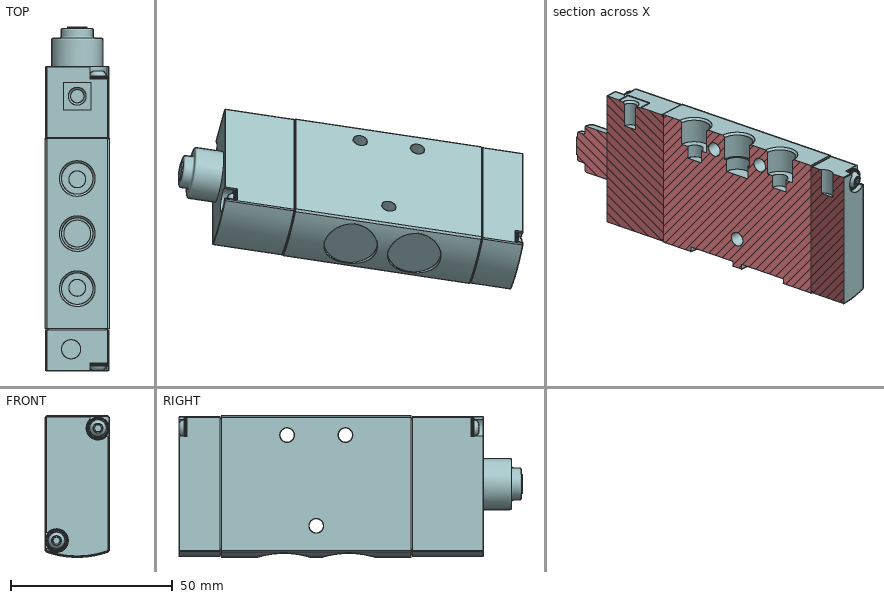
import cadquery as cq
import math


body_width = 20.0
body_height = 43.72
body_length = 58.6
body_chamfer = 0.6
arch_rise = 1.6
cap_inset = 0.25
cap_chamfer = 0.35
cap_end_chamfer = 0.2

neck_length = 0.4
neck_inset = 0.7
rear_cap_length = 21.9
front_cap_length = 12.7

top_port_pitch = 17.0
top_port_diameter = 9.7
top_port_mouth = 11.0
top_port_depth = 8.0
passage_pitch = 16.75
passage_diameter = 5.2
centre_passage_diameter = 8.3
passage_depth = 4.0
spotface_pitch = 20.0
spotface_diameter = 16.5

mounting_diameter = 4.4
upper_hole_pitch = 18.0
upper_hole_z = 37.75
lower_hole_z = 9.75

pilot_y = 42.4
pilot_recess_side = 8.6
pilot_recess_depth = 0.2
pilot_diameter = 4.13
pilot_mouth = 5.5
pilot_depth = 8.0
exhaust_x = -1.9
exhaust_y = -35.7
exhaust_diameter = 5.92
exhaust_depth = 8.0

screw_x = 6.4
upper_screw_z = 39.9
lower_screw_z = 5.2
pocket_diameter = 7.3
pocket_slot_width = 4.9
rear_pocket_depth = 3.9
front_pocket_depth = 2.5
flange_diameter = 6.8
flange_height = 0.95
flange_root_diameter = 5.92
serration_count = 32
serration_width = 0.33
dome_diameter = 5.2
dome_height = 1.55
dome_flat_diameter = 3.0
dome_bulge = 0.63
socket_diameter = 2.1
socket_lobe_reach = 2.46
socket_lobe_diameter = 0.5
socket_lobe_count = 6
socket_depth = 1.2

knob_z = 22.65
knob_diameter = 15.9
knob_length = 8.7
button_diameter = 10.0
button_length = 3.0
knob_fillet = 0.6
tip_diameter = 5.92
tip_length = 0.4

half_body = body_length / 2
cap_top = body_height - cap_inset
rear_face = half_body + neck_length + rear_cap_length
front_face = -(half_body + neck_length + front_cap_length)


def section_block(inset, chamfer, y_start, length):
    """Bar along +Y with the arched section, its faces set back from the body faces by inset."""
    side = body_width / 2 - inset
    top = body_height - inset
    bottom = inset
    arc_end = bottom + arch_rise
    return (
        cq.Workplane("XZ", origin=(0, y_start, 0))
        .moveTo(-side + chamfer, top)
        .lineTo(side - chamfer, top)
        .lineTo(side, top - chamfer)
        .lineTo(side, arc_end + chamfer)
        .lineTo(side - chamfer, arc_end)
        .threePointArc((0, bottom), (-side + chamfer, arc_end))
        .lineTo(-side, arc_end + chamfer)
        .lineTo(-side, top - chamfer)
        .close()
        .extrude(-length)
    )


def drill_down(x, y, z_top, diameter, depth):
    """Cylinder that runs down from z_top."""
    return cq.Workplane("XY", origin=(x, y, z_top)).circle(diameter / 2).extrude(-depth)


def countersink(x, y, z_top, mouth, diameter):
    """45 degree cone that widens a hole from diameter to mouth at z_top."""
    depth = (mouth - diameter) / 2
    cone = cq.Solid.makeCone(mouth / 2, diameter / 2, depth, cq.Vector(x, y, z_top), cq.Vector(0, 0, -1))
    return cq.Workplane(obj=cone)


def make_valve_body():
    body = section_block(0, body_chamfer, -half_body, body_length)

    for step in (-1, 0, 1):
        port_y = step * top_port_pitch
        passage = centre_passage_diameter if step == 0 else passage_diameter
        body = body.cut(drill_down(0, port_y, body_height, top_port_diameter, top_port_depth))
        body = body.cut(countersink(0, port_y, body_height, top_port_mouth, top_port_diameter))
        body = body.cut(
            drill_down(0, step * passage_pitch, body_height, passage, top_port_depth + passage_depth)
        )

    for side in (-1, 1):
        body = body.cut(drill_down(0, side * spotface_pitch / 2, arch_rise, spotface_diameter, arch_rise))

    mounting_places = [
        (-upper_hole_pitch / 2, upper_hole_z),
        (upper_hole_pitch / 2, upper_hole_z),
        (0, lower_hole_z),
    ]
    mounting_holes = (
        cq.Workplane("YZ", origin=(-body_width / 2, 0, 0))
        .pushPoints(mounting_places)
        .circle(mounting_diameter / 2)
        .extrude(body_width)
    )
    return body.cut(mounting_holes)


def screw_pocket(x, z, depth):
    """Round pocket with a notch out through the nearby cap faces, sunk along +Y from Y = 0."""
    pocket = cq.Workplane("XZ").center(x, z).circle(pocket_diameter / 2).extrude(-depth)
    half_slot = pocket_slot_width / 2
    outer_x = math.copysign(body_width / 2, x)
    inner_x = x - math.copysign(half_slot, x)
    notch_top = body_height if z == upper_screw_z else z + half_slot
    notch_bottom = z - half_slot
    notch = (
        cq.Workplane("XZ")
        .center((inner_x + outer_x) / 2, (notch_bottom + notch_top) / 2)
        .rect(abs(outer_x - inner_x), notch_top - notch_bottom)
        .extrude(-depth)
    )
    return pocket.union(notch)


def screw_head(x, z, depth):
    """Domed head with serrated flange and star socket, seated on a pocket floor at Y = depth."""
    flange_top = depth - flange_height
    dome_top = flange_top - dome_height
    dome_radius = dome_diameter / 2
    flat_radius = dome_flat_diameter / 2
    flange = cq.Workplane("XZ", origin=(x, depth, z)).circle(flange_diameter / 2).extrude(flange_height)
    serrations = (
        cq.Workplane("XZ", origin=(x, depth, z))
        .polarArray(flange_diameter / 2, 0, 360, serration_count)
        .rect(flange_diameter - flange_root_diameter, serration_width)
        .extrude(flange_height)
    )
    dome = (
        cq.Workplane("XY")
        .moveTo(0, depth)
        .lineTo(dome_radius, depth)
        .lineTo(dome_radius, flange_top)
        .threePointArc(
            (flat_radius + (dome_radius - flat_radius) * dome_bulge, flange_top - dome_height * dome_bulge),
            (flat_radius, dome_top),
        )
        .lineTo(0, dome_top)
        .close()
        .revolve(360, (0, 0, 0), (0, 1, 0))
        .translate((x, 0, z))
    )
    socket_plane = cq.Workplane("XZ", origin=(x, dome_top, z))
    socket = socket_plane.circle(socket_diameter / 2).extrude(-socket_depth)
    lobes = (
        socket_plane.polarArray((socket_lobe_reach - socket_lobe_diameter) / 2, 0, 360, socket_lobe_count)
        .circle(socket_lobe_diameter / 2)
        .extrude(-socket_depth)
    )
    return flange.cut(serrations).union(dome).cut(socket).cut(lobes)


def add_screws(cap, face_y, pocket_depth, inward):
    """Sink two screws into the cap end at face_y; inward is the Y direction into the cap."""
    for x, z in ((screw_x, upper_screw_z), (-screw_x, lower_screw_z)):
        pocket = screw_pocket(x, z, pocket_depth)
        head = screw_head(x, z, pocket_depth)
        if inward < 0:
            pocket = pocket.mirror("XZ")
            head = head.mirror("XZ")
        cap = cap.cut(pocket.translate((0, face_y, 0)))
        cap = cap.union(head.translate((0, face_y, 0)))
    return cap


def make_rear_cap():
    block = section_block(cap_inset, cap_chamfer, half_body + neck_length, rear_cap_length)
    cap = block.faces(">Y").chamfer(cap_end_chamfer)
    cap = cap.union(section_block(neck_inset, cap_chamfer, half_body, neck_length))
    cap = add_screws(cap, rear_face, rear_pocket_depth, -1)

    recess_floor = cap_top - pilot_recess_depth
    recess = (
        cq.Workplane("XY", origin=(0, pilot_y, recess_floor))
        .rect(pilot_recess_side, pilot_recess_side)
        .extrude(pilot_recess_depth)
    )
    cap = cap.cut(recess)
    cap = cap.cut(drill_down(0, pilot_y, recess_floor, pilot_diameter, pilot_depth))
    return cap.cut(countersink(0, pilot_y, recess_floor, pilot_mouth, pilot_diameter))


def make_front_cap():
    block = section_block(cap_inset, cap_chamfer, front_face, front_cap_length)
    cap = block.faces("<Y").chamfer(cap_end_chamfer)
    cap = cap.union(section_block(neck_inset, cap_chamfer, -half_body - neck_length, neck_length))
    cap = add_screws(cap, front_face, front_pocket_depth, 1)
    return cap.cut(drill_down(exhaust_x, exhaust_y, cap_top, exhaust_diameter, exhaust_depth))


def make_knob():
    """Turned knob on an axis along Y: grip, button with a rounded foot, and tip."""
    knob_radius = knob_diameter / 2
    button_radius = button_diameter / 2
    button_end = knob_length + button_length
    tip_end = button_end + tip_length
    fillet = knob_fillet
    arc_gap = fillet * (1 - math.sqrt(0.5))
    foot_end = knob_length + fillet
    knob = (
        cq.Workplane("XY")
        .lineTo(knob_radius, 0)
        .lineTo(knob_radius, knob_length - fillet)
        .threePointArc((knob_radius - arc_gap, knob_length - arc_gap), (knob_radius - fillet, knob_length))
        .lineTo(button_radius + fillet, knob_length)
        .threePointArc((button_radius + arc_gap, knob_length + arc_gap), (button_radius, foot_end))
        .lineTo(button_radius, button_end - fillet)
        .threePointArc(
            (button_radius - arc_gap, button_end - arc_gap),
            (button_radius - fillet, button_end),
        )
        .lineTo(tip_diameter / 2, button_end)
        .lineTo(tip_diameter / 2, tip_end)
        .lineTo(0, tip_end)
        .close()
        .revolve(360, (0, 0, 0), (0, 1, 0))
    )
    return knob.translate((0, rear_face, knob_z))


valve_body = make_valve_body()
rear_cap = make_rear_cap()
front_cap = make_front_cap()
knob = make_knob()

result = cq.Compound.makeCompound([valve_body.val(), rear_cap.val(), front_cap.val(), knob.val()])